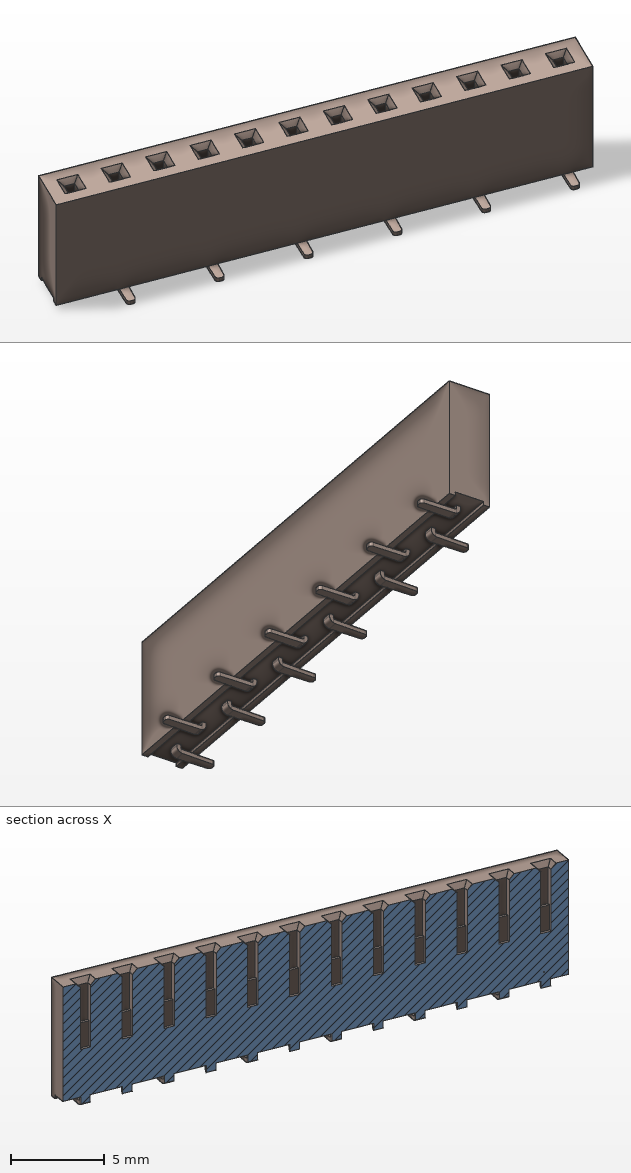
import cadquery as cq

positions = 12
pitch = 2.54
end_margin = 0.1
row_length = positions * pitch + 2 * end_margin
lead_span = 4.64
total_height = 7.4

housing_width = 2.54
standoff = 0.3
rail_width = 0.38
channel_depth = 0.22

mouth_size = 1.2
socket_size = 0.6
funnel_depth = 0.3
socket_depth = 2.5
contact_gap = 0.28
contact_gap_depth = 1.5

lead_thickness = 0.25
stem_width = 0.6
tip_width = 0.5
tip_radius = 0.18
inner_bend_radius = 0.12
outer_bend_radius = inner_bend_radius + lead_thickness
stem_embed = 0.3

housing_height = total_height - standoff
channel_top = standoff + channel_depth
lead_reach = lead_span / 2


def make_housing():
    """Rectangular bar with a channel along its underside, leaving two rails."""
    bar = cq.Workplane("XY").workplane(offset=standoff).box(
        housing_width, row_length, housing_height, centered=(True, True, False)
    )
    channel = cq.Workplane("XY").workplane(offset=standoff).box(
        housing_width - 2 * rail_width, row_length, channel_depth, centered=(True, True, False)
    )
    return bar.cut(channel)


def make_socket(y):
    """Cavity of one position: tapered mouth, square well and the gap between its contacts."""
    mouth = cq.Workplane("XY").workplane(offset=total_height).center(0, y)
    funnel = (
        mouth.rect(mouth_size, mouth_size)
        .workplane(offset=-funnel_depth)
        .rect(socket_size, socket_size)
        .loft(combine=True)
    )
    well = mouth.rect(socket_size, socket_size).extrude(-socket_depth)
    gap = mouth.rect(contact_gap, socket_size).extrude(-(socket_depth + contact_gap_depth))
    return funnel.union(well).union(gap)


def make_lead(y, side):
    """Bent strip: a stem on the centreline and a tapered foot; side is +1 for +X, -1 for -X."""
    stem_outer = -lead_thickness / 2
    stem_inner = lead_thickness / 2
    stem_top = channel_top + stem_embed
    profile = (
        cq.Workplane("XZ")
        .moveTo(stem_outer, stem_top)
        .lineTo(stem_outer, outer_bend_radius)
        .radiusArc((stem_outer + outer_bend_radius, 0), -outer_bend_radius)
        .lineTo(lead_reach, 0)
        .lineTo(lead_reach, lead_thickness)
        .lineTo(stem_inner + inner_bend_radius, lead_thickness)
        .radiusArc((stem_inner, outer_bend_radius), inner_bend_radius)
        .lineTo(stem_inner, stem_top)
        .close()
        .extrude(stem_width / 2, both=True)
    )
    outline = (
        cq.Workplane("XY")
        .moveTo(stem_outer, -stem_width / 2)
        .lineTo(stem_inner, -stem_width / 2)
        .lineTo(lead_reach, -tip_width / 2)
        .lineTo(lead_reach, tip_width / 2)
        .lineTo(stem_inner, stem_width / 2)
        .lineTo(stem_outer, stem_width / 2)
        .close()
        .extrude(stem_top)
        .edges("|Z and >X")
        .fillet(tip_radius)
    )
    lead = profile.intersect(outline)
    if side < 0:
        lead = lead.mirror("YZ")
    return lead.translate((0, y, 0))


result = make_housing()
for index in range(positions):
    row_y = (index - (positions - 1) / 2) * pitch
    lead_side = 1 if index % 2 else -1
    result = result.cut(make_socket(row_y))
    result = result.union(make_lead(row_y, lead_side))